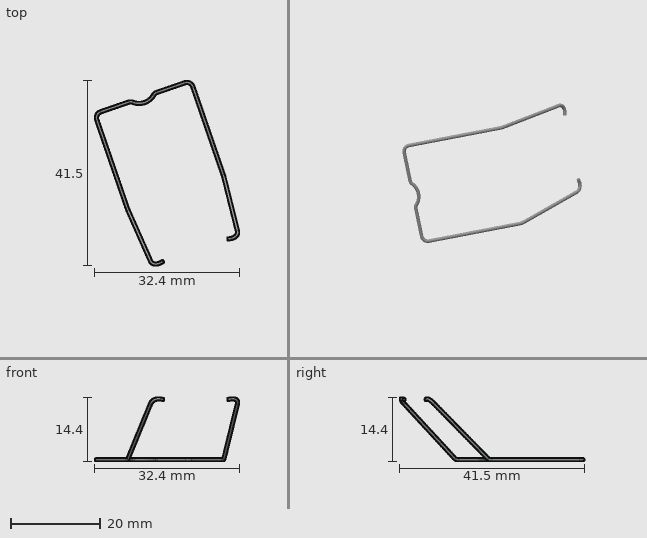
import cadquery as cq
import math

WIRE_DIAMETER = 0.8
CLIP_TURN = 19.0

FRAME_WIDTH = 22.75
ARM_LENGTH = 22.63
CORNER_RADIUS = 1.4
ELBOW_RADIUS = 1.15

DIP_HALF_SPAN = 3.27
DIP_DEPTH = 1.25
DIP_EDGE_RADIUS = 1.15

LEG_SLOPE = 44.8
LEG_TOE_IN = 3.5
LEG_LENGTH = 19.73
HOOK_RADIUS = 1.55
HOOK_RETURN = 12.0
HOOK_TIP_LENGTH = 0.85


def rounded_path(points, radii):
    """Edges along a polyline, with a tangent arc of the given radius at each inner corner."""
    edges = []
    start = points[0]
    for corner, following, radius in zip(points[1:-1], points[2:], radii):
        incoming = (corner - start).normalized()
        outgoing = (following - corner).normalized()
        turn = incoming.getAngle(outgoing)
        setback = radius * math.tan(turn / 2)
        arc_start = corner - incoming * setback
        arc_end = corner + outgoing * setback
        edges.append(cq.Edge.makeLine(start, arc_start))
        edges.append(cq.Edge.makeTangentArc(arc_start, incoming, arc_end))
        start = arc_end
    edges.append(cq.Edge.makeLine(start, points[-1]))
    return edges


def mirrored(point):
    return cq.Vector(-point.x, point.y, point.z)


def dip_edges():
    """Left edge arc, main arc of the dip and right edge arc, in order along +X."""
    turn = 2 * math.atan(DIP_DEPTH / DIP_HALF_SPAN)
    dip_radius = DIP_HALF_SPAN / math.sin(turn) - DIP_EDGE_RADIUS
    bottom = cq.Vector(0, -DIP_DEPTH, 0)
    join = bottom + cq.Vector(math.sin(turn), 1 - math.cos(turn), 0) * dip_radius
    rim = cq.Vector(DIP_HALF_SPAN, 0, 0)
    direction_in = cq.Vector(math.cos(turn), -math.sin(turn), 0)
    direction_out = cq.Vector(math.cos(turn), math.sin(turn), 0)
    return [
        cq.Edge.makeTangentArc(mirrored(rim), cq.Vector(1, 0, 0), mirrored(join)),
        cq.Edge.makeTangentArc(mirrored(join), direction_in, join),
        cq.Edge.makeTangentArc(join, direction_out, rim),
    ]


def leg_plane_vector(inward, along):
    """Vector in the right leg's sloping plane, from its inward and uphill parts."""
    slope = math.radians(LEG_SLOPE)
    return cq.Vector(-inward, -along * math.cos(slope), along * math.sin(slope))


def right_half_points():
    """Corners of the right half, from the rim of the dip to the tip of the hook."""
    toe_in = math.radians(LEG_TOE_IN)
    hook_return = math.radians(HOOK_RETURN)
    hook_turn = math.pi / 2 - toe_in + hook_return
    tip_length = HOOK_RADIUS * math.tan(hook_turn / 2) + HOOK_TIP_LENGTH

    rim = cq.Vector(DIP_HALF_SPAN, 0, 0)
    corner = cq.Vector(FRAME_WIDTH / 2, 0, 0)
    elbow = corner - cq.Vector(0, ARM_LENGTH, 0)
    hook = elbow + leg_plane_vector(math.sin(toe_in), math.cos(toe_in)) * LEG_LENGTH
    tip = hook + leg_plane_vector(math.cos(hook_return), -math.sin(hook_return)) * tip_length
    return [rim, corner, elbow, hook, tip]


bend_radii = [CORNER_RADIUS, ELBOW_RADIUS, HOOK_RADIUS]
right_points = right_half_points()
left_points = [mirrored(point) for point in reversed(right_points)]
left_edges = rounded_path(left_points, bend_radii[::-1])
right_edges = rounded_path(right_points, bend_radii)
centreline = cq.Wire.assembleEdges(left_edges + dip_edges() + right_edges)

tip_plane = cq.Plane(origin=left_points[0], normal=left_points[1] - left_points[0])
clip = cq.Workplane(tip_plane).circle(WIRE_DIAMETER / 2).sweep(cq.Workplane(centreline))
result = clip.rotate((0, 0, 0), (0, 0, 1), CLIP_TURN)